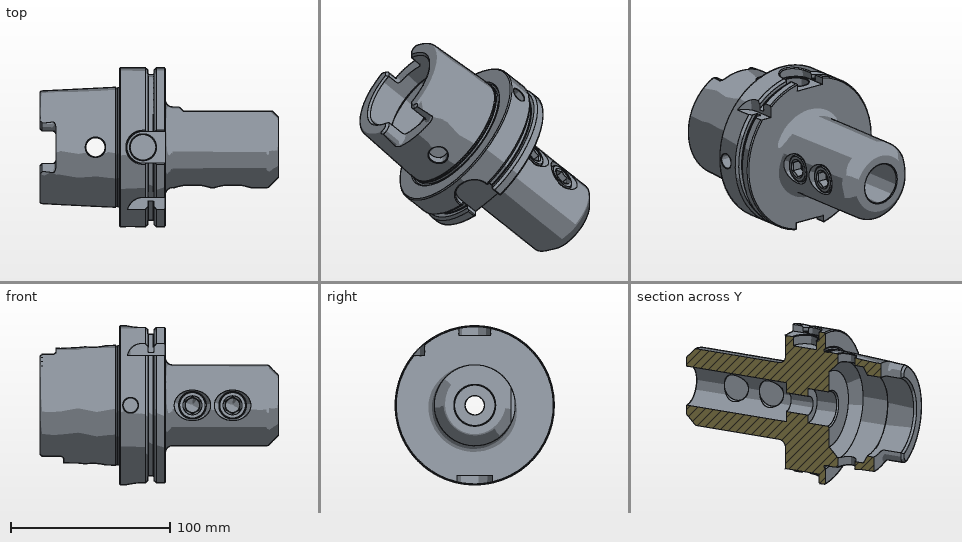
import cadquery as cq
import math


total_length = 150.0
flange_face_x = 50.0
flange_length = 29.0
flange_end_x = flange_face_x + flange_length

taper_tail_radius = 35.4
taper_slope = 1 / 20
taper_end_x = 47.4
relief_end_x = 49.2
relief_step = 0.5
relief_depth = 0.3
collar_radius = 37.6
undercut_radius = 39.6
undercut_depth = 0.8
tail_edge_fillet = 1.6

drive_slot_width = 20.2
drive_slot_corner_z = 27.2
drive_slot_corner_radius = 5.0
drive_slot_floor_fillet = 2.0
drive_slot_tail_chamfer = 1.5
upper_drive_slot_depth = 10.0
lower_drive_slot_depth = 15.0

clamp_bore_diameter = 53.0
clamp_mouth_chamfer = 1.4
clamp_lip_x = 20.0
clamp_cavity_diameter = 63.0
clamp_shoulder_angle = 60.0
clamp_floor_x = 47.2
clamp_cavity_end_x = 40.5
clamp_floor_diameter = 49.5
access_hole_diameter = 12.0
access_hole_chamfer = 0.5
access_hole_x = 35.0

tube_thread_diameter = 22.4
tube_thread_chamfer = 0.9
tube_thread_depth = 15.0
coolant_diameter = 12.0

flange_diameter = 100.0
flange_chamfer = 0.8
groove_center_x = 69.8
groove_mouth_width = 6.2
groove_floor_width = 3.8
groove_slope_depth = 1.5
groove_depth = 4.2
groove_rim_chamfer = 0.5
groove_floor_fillet = 0.5

keyway_end_x = 54.8
keyway_floor_z = 44.0
keyway_edge_chamfer = 0.8
upper_keyway_width = 20.0
lower_keyway_width = 22.0
keyway_hole_x = 64.8
keyway_hole_diameter = 16.0
keyway_hole_chamfer = 0.5
keyway_hole_depth = 6.0

notch_corner_y = -31.5
notch_corner_z = 31.2
notch_radius = 10.0
notch_center_x = 64.8
chip_hole_diameter = 9.3
chip_hole_chamfer = 0.3
chip_hole_x = 57.0
chip_hole_depth = 7.5

nose_diameter = 50.8
neck_fillet = 4.5
nose_chamfer = 6.6
nose_edge_fillet = 2.0
nose_flat_y = 22.6
nose_flat_start_x = 87.5
tool_bore_diameter = 25.4
tool_bore_floor_x = 78.0
tool_bore_mouth_diameter = 26.4

screw_positions = (95.8, 121.0)
screw_diameter = 17.4
screw_face_diameter = 16.0
screw_face_y = -23.8
screw_sink_diameter = 23.0
socket_across_flats = 9.3
socket_mouth_diameter = 12.0
socket_mouth_angle = 120.0
socket_depth = 6.8
socket_drill_diameter = 9.0
socket_drill_angle = 118.0

flange_radius = flange_diameter / 2
nose_radius = nose_diameter / 2
screw_tip_y = -tool_bore_diameter / 2
beyond = flange_diameter


def taper_radius(x):
    return taper_tail_radius + taper_slope * x


def revolve_about_x(profile):
    """Turn a profile drawn as (X, radius) around the X axis."""
    return profile.close().revolve(360, (0, 0, 0), (1, 0, 0))


def cone_along(start, axis, large_radius, small_radius, length):
    """Cone whose large end is at start and which narrows along axis."""
    return cq.Workplane(cq.Solid.makeCone(
        large_radius, small_radius, length, cq.Vector(*start), cq.Vector(*axis)))


def cylinder_along(start, axis, radius, length):
    return cq.Workplane(cq.Solid.makeCylinder(
        radius, length, cq.Vector(*start), cq.Vector(*axis)))


def turned_blank():
    """Taper shank, relief, flange and nose as one turned solid."""
    relief_radius = collar_radius - relief_depth
    profile = (
        cq.Workplane("XY")
        .moveTo(0, 0)
        .lineTo(0, taper_tail_radius)
        .lineTo(taper_end_x, taper_radius(taper_end_x))
        .lineTo(taper_end_x + relief_step, relief_radius)
        .lineTo(relief_end_x - relief_step, relief_radius)
        .lineTo(relief_end_x, collar_radius)
        .lineTo(flange_face_x + undercut_depth, collar_radius)
        .lineTo(flange_face_x + undercut_depth, undercut_radius - undercut_depth)
        .lineTo(flange_face_x, undercut_radius)
        .lineTo(flange_face_x, flange_radius - flange_chamfer)
        .lineTo(flange_face_x + flange_chamfer, flange_radius)
        .lineTo(flange_end_x - flange_chamfer, flange_radius)
        .lineTo(flange_end_x, flange_radius - flange_chamfer)
        .lineTo(flange_end_x, nose_radius + neck_fillet)
        .radiusArc((flange_end_x + neck_fillet, nose_radius), -neck_fillet)
        .lineTo(total_length, nose_radius)
        .lineTo(total_length, 0)
    )
    blank = revolve_about_x(profile).faces(">X").chamfer(nose_chamfer)
    nose_end_edges = cq.selectors.BoxSelector(
        (total_length - nose_chamfer - 0.2, -beyond, -beyond),
        (total_length + 0.2, beyond, beyond))
    return blank.edges(nose_end_edges).edges("%CIRCLE").fillet(nose_edge_fillet)


def drive_slot(side, depth):
    """Slot across the tail at +Z or -Z whose walls flare out round at the rim."""
    half_width = drive_slot_width / 2
    flare_z = drive_slot_corner_z + drive_slot_corner_radius
    flare_y = half_width + drive_slot_corner_radius
    slot = (
        cq.Workplane("YZ")
        .moveTo(-half_width, 0)
        .lineTo(half_width, 0)
        .lineTo(half_width, drive_slot_corner_z)
        .radiusArc((flare_y, flare_z), drive_slot_corner_radius)
        .lineTo(flange_radius, flare_z)
        .lineTo(flange_radius, flange_radius)
        .lineTo(-flange_radius, flange_radius)
        .lineTo(-flange_radius, flare_z)
        .lineTo(-flare_y, flare_z)
        .radiusArc((-half_width, drive_slot_corner_z), drive_slot_corner_radius)
        .close()
        .extrude(depth)
    )
    wall_foot = cq.selectors.BoxSelector(
        (depth - 0.2, -flare_y, 0.2), (depth + 0.2, flare_y, flare_z - 0.2))
    slot = slot.edges(wall_foot).fillet(drive_slot_floor_fillet)
    if side < 0:
        slot = slot.mirror("XY")
    return slot


def slotted_envelope():
    """Block around the whole holder with both drive slots cut and their tail edges chamfered."""
    block = cq.Workplane("XY").box(
        total_length + 1.5, 2 * flange_diameter, 2 * flange_diameter, centered=(False, True, True))
    block = block.cut(drive_slot(1, upper_drive_slot_depth))
    block = block.cut(drive_slot(-1, lower_drive_slot_depth))
    half_width = drive_slot_width / 2
    wall_edges = cq.selectors.BoxSelector(
        (-0.2, -half_width - 0.2, -0.2), (0.2, half_width + 0.2, 0.2))
    return block.edges(wall_edges).chamfer(drive_slot_tail_chamfer)


def keyway(side, width):
    """Flange slot open toward the tool, with a round end and a flat floor."""
    radius = width / 2
    outline = (
        cq.Workplane("XY")
        .workplane(offset=keyway_floor_z)
        .moveTo(flange_end_x + 1.5, -radius)
        .lineTo(keyway_end_x + radius, -radius)
        .threePointArc((keyway_end_x, 0), (keyway_end_x + radius, radius))
        .lineTo(flange_end_x + 1.5, radius)
        .close()
        .extrude(flange_radius)
    )
    if side < 0:
        outline = outline.mirror("XY")
    return outline


def keyway_rim(side, width):
    """Box selector for the outer rim of one keyway."""
    half_width = width / 2
    low_z = math.sqrt(flange_radius ** 2 - half_width ** 2) - 0.2
    near = (keyway_end_x - 0.2, -half_width - 0.2, side * low_z)
    far = (flange_end_x - flange_chamfer - 0.2, half_width + 0.2, side * beyond)
    return cq.selectors.BoxSelector(near, far)


def keyway_hole():
    """Round blind hole in the floor of the upper keyway."""
    start = (keyway_hole_x, 0, keyway_floor_z)
    radius = keyway_hole_diameter / 2
    hole = cylinder_along(start, (0, 0, -1), radius, keyway_hole_depth)
    mouth = cone_along(start, (0, 0, -1), radius + keyway_hole_chamfer, radius, keyway_hole_chamfer)
    return hole.union(mouth)


def corner_notch():
    """Milled notch whose wall faces -Y and whose floor faces +Z."""
    center_y = notch_corner_y - notch_radius
    run = flange_end_x + 1.5 - notch_center_x
    straight = cq.Workplane("XY").box(run, 2 * notch_radius, flange_radius, centered=(False, True, False))
    straight = straight.translate((notch_center_x, center_y, notch_corner_z))
    round_end = cylinder_along(
        (notch_center_x, center_y, notch_corner_z), (0, 0, 1), notch_radius, flange_radius)
    return straight.union(round_end)


def gripper_groove():
    """Ring cut around the flange, wide at the mouth and straight at the floor."""
    half_mouth = groove_mouth_width / 2
    half_floor = groove_floor_width / 2
    half_rim = half_mouth + groove_rim_chamfer
    step_radius = flange_radius - groove_slope_depth
    floor_radius = flange_radius - groove_depth
    profile = (
        cq.Workplane("XY")
        .moveTo(groove_center_x - half_floor, floor_radius)
        .lineTo(groove_center_x - half_floor, step_radius)
        .lineTo(groove_center_x - half_mouth, flange_radius - groove_rim_chamfer)
        .lineTo(groove_center_x - half_rim, flange_radius)
        .lineTo(groove_center_x - half_rim, flange_radius + 1.5)
        .lineTo(groove_center_x + half_rim, flange_radius + 1.5)
        .lineTo(groove_center_x + half_rim, flange_radius)
        .lineTo(groove_center_x + half_mouth, flange_radius - groove_rim_chamfer)
        .lineTo(groove_center_x + half_floor, step_radius)
        .lineTo(groove_center_x + half_floor, floor_radius)
    )
    floor_edges = cq.selectors.RadiusNthSelector(0)
    return revolve_about_x(profile).edges("%CIRCLE").edges(floor_edges).fillet(groove_floor_fillet)


def chip_hole(holder):
    """Drill the blind data chip hole from -Y and chamfer its rim."""
    radius = chip_hole_diameter / 2
    rim_y = -flange_radius
    drill = cylinder_along((chip_hole_x, rim_y, 0), (0, 1, 0), radius, chip_hole_depth)
    rim = cq.selectors.BoxSelector(
        (chip_hole_x - radius, rim_y - 0.2, -radius), (chip_hole_x + radius, rim_y + 1.5, radius))
    return holder.cut(drill).edges(rim).edges("not %LINE").chamfer(chip_hole_chamfer)


def clamp_bore():
    """Bore of the hollow shank: mouth, lip, undercut cavity and narrowing floor."""
    lip_radius = clamp_bore_diameter / 2
    cavity_radius = clamp_cavity_diameter / 2
    floor_radius = clamp_floor_diameter / 2
    shoulder_length = (cavity_radius - lip_radius) / math.tan(math.radians(clamp_shoulder_angle))
    profile = (
        cq.Workplane("XY")
        .moveTo(0, 0)
        .lineTo(0, lip_radius + clamp_mouth_chamfer)
        .lineTo(clamp_mouth_chamfer, lip_radius)
        .lineTo(clamp_lip_x, lip_radius)
        .lineTo(clamp_lip_x + shoulder_length, cavity_radius)
        .lineTo(clamp_cavity_end_x, cavity_radius)
        .lineTo(clamp_floor_x, floor_radius)
        .lineTo(clamp_floor_x, 0)
    )
    return revolve_about_x(profile)


def axial_passage():
    """Coolant tube recess, coolant hole and tool bore along the axis."""
    thread_radius = tube_thread_diameter / 2
    coolant_radius = coolant_diameter / 2
    bore_radius = tool_bore_diameter / 2
    mouth_radius = tool_bore_mouth_diameter / 2
    thread_end_x = clamp_floor_x + tube_thread_depth
    profile = (
        cq.Workplane("XY")
        .moveTo(clamp_floor_x, 0)
        .lineTo(clamp_floor_x, thread_radius + tube_thread_chamfer)
        .lineTo(clamp_floor_x + tube_thread_chamfer, thread_radius)
        .lineTo(thread_end_x, thread_radius)
        .lineTo(thread_end_x, coolant_radius)
        .lineTo(tool_bore_floor_x, coolant_radius)
        .lineTo(tool_bore_floor_x, bore_radius)
        .lineTo(total_length - (mouth_radius - bore_radius), bore_radius)
        .lineTo(total_length, mouth_radius)
        .lineTo(total_length, 0)
    )
    return revolve_about_x(profile)


def access_hole(holder):
    """Drill a cross hole through the taper and chamfer both of its rims."""
    radius = access_hole_diameter / 2
    reach = radius + 0.8
    rims = cq.selectors.BoxSelector(
        (access_hole_x - reach, -reach, -beyond), (access_hole_x + reach, reach, beyond))
    drill = cylinder_along((access_hole_x, 0, -flange_radius), (0, 0, 1), radius, flange_diameter)
    return holder.cut(drill).edges(rims).edges("not %LINE").chamfer(access_hole_chamfer)


def nose_flat():
    """Flat along the +Y side of the nose, with a 45 degree run-out toward the flange."""
    flat = (
        cq.Workplane("XY")
        .moveTo(nose_flat_start_x, nose_radius)
        .lineTo(nose_flat_start_x + nose_radius - nose_flat_y, nose_flat_y)
        .lineTo(total_length + 1.5, nose_flat_y)
        .lineTo(total_length + 1.5, nose_radius + 1.5)
        .lineTo(nose_flat_start_x - 1.5, nose_radius + 1.5)
        .close()
        .extrude(nose_radius, both=True)
    )
    return flat


def screw_seat(x):
    """Side hole for one clamping screw: 45 degree sink at the surface, then a plain hole to the tool bore."""
    screw_radius = screw_diameter / 2
    sink_radius = screw_sink_diameter / 2
    hole = cylinder_along((x, -nose_radius, 0), (0, 1, 0), screw_radius, nose_radius)
    sink = cone_along(
        (x, -nose_radius, 0), (0, 1, 0), sink_radius, screw_radius, sink_radius - screw_radius)
    return hole.union(sink)


def make_holder():
    holder = turned_blank().faces("<X").edges().fillet(tail_edge_fillet)
    holder = holder.intersect(slotted_envelope())
    holder = access_hole(holder)

    for side, width in ((1, upper_keyway_width), (-1, lower_keyway_width)):
        holder = holder.cut(keyway(side, width))
        holder = holder.edges(keyway_rim(side, width)).chamfer(keyway_edge_chamfer)
    holder = holder.cut(keyway_hole())
    holder = holder.cut(corner_notch())
    holder = chip_hole(holder)
    holder = holder.cut(gripper_groove())

    holder = holder.cut(clamp_bore())
    holder = holder.cut(axial_passage())

    holder = holder.cut(nose_flat())
    for x in screw_positions:
        holder = holder.cut(screw_seat(x))
    return holder


def make_clamp_screw(x):
    """Set screw with a hexagon socket, pointing along +Y and ending at the tool bore."""
    radius = screw_diameter / 2
    edge_chamfer = (screw_diameter - screw_face_diameter) / 2
    screw = cylinder_along((x, screw_face_y, 0), (0, 1, 0), radius, screw_tip_y - screw_face_y)
    screw = screw.faces("<Y").edges().chamfer(edge_chamfer)

    across_corners = socket_across_flats / math.cos(math.radians(30))
    hexagon = (
        cq.Workplane("XZ", origin=(x, screw_face_y, 0))
        .transformed(rotate=(0, 0, 90))
        .polygon(6, across_corners)
        .extrude(-socket_depth)
    )
    mouth_radius = socket_mouth_diameter / 2
    mouth_depth = mouth_radius / math.tan(math.radians(socket_mouth_angle / 2))
    mouth = cone_along((x, screw_face_y, 0), (0, 1, 0), mouth_radius, 0, mouth_depth)
    drill_radius = socket_drill_diameter / 2
    drill_tip_length = drill_radius / math.tan(math.radians(socket_drill_angle / 2))
    drill_tip = cone_along(
        (x, screw_face_y + socket_depth, 0), (0, 1, 0), drill_radius, 0, drill_tip_length)
    return screw.cut(hexagon).cut(mouth).cut(drill_tip)


holder = make_holder()
clamp_screws = [make_clamp_screw(x) for x in screw_positions]

result = cq.Compound.makeCompound([holder.val(), *[screw.val() for screw in clamp_screws]])